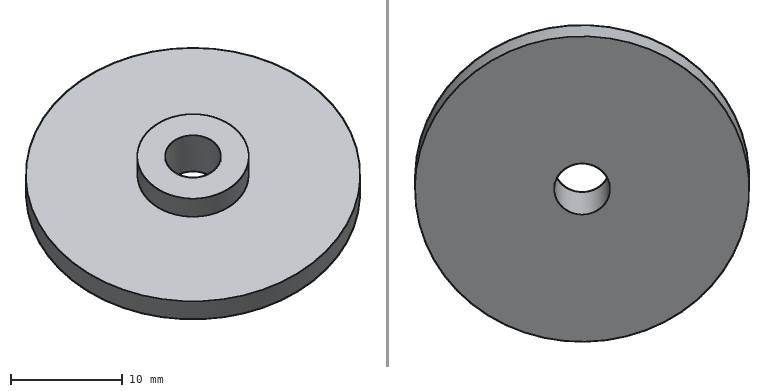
import cadquery as cq

disc_diameter = 30.0
hub_diameter = disc_diameter / 3
bore_diameter = disc_diameter / 6
total_height = disc_diameter / 6
disc_thickness = total_height / 2
hub_height = total_height - disc_thickness

disc = cq.Workplane("XY").circle(disc_diameter / 2).extrude(disc_thickness)

disc_with_hub = disc.faces(">Z").workplane().circle(hub_diameter / 2).extrude(hub_height)

result = disc_with_hub.faces(">Z").workplane().hole(bore_diameter)